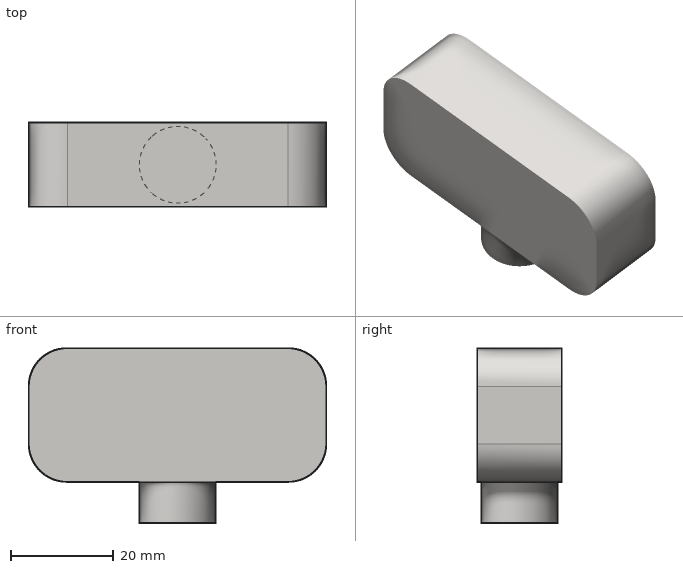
import cadquery as cq

block_length = 58.2
block_depth = 16.5
total_height = 34.2
stem_length = 8.05
block_height = total_height - stem_length

stem_diameter = 15.0
corner_radius = stem_diameter / 2


def make_block():
    """Block centred on the origin, with its four corners rounded along Y."""
    block = cq.Workplane("XY").box(block_length, block_depth, block_height)
    return block.edges("|Y").fillet(corner_radius)


def make_stem():
    """Cylinder hanging from the middle of the block's underside."""
    underside = cq.Workplane("XY").workplane(offset=-block_height / 2)
    return underside.circle(stem_diameter / 2).extrude(-stem_length)


result = make_block().union(make_stem())